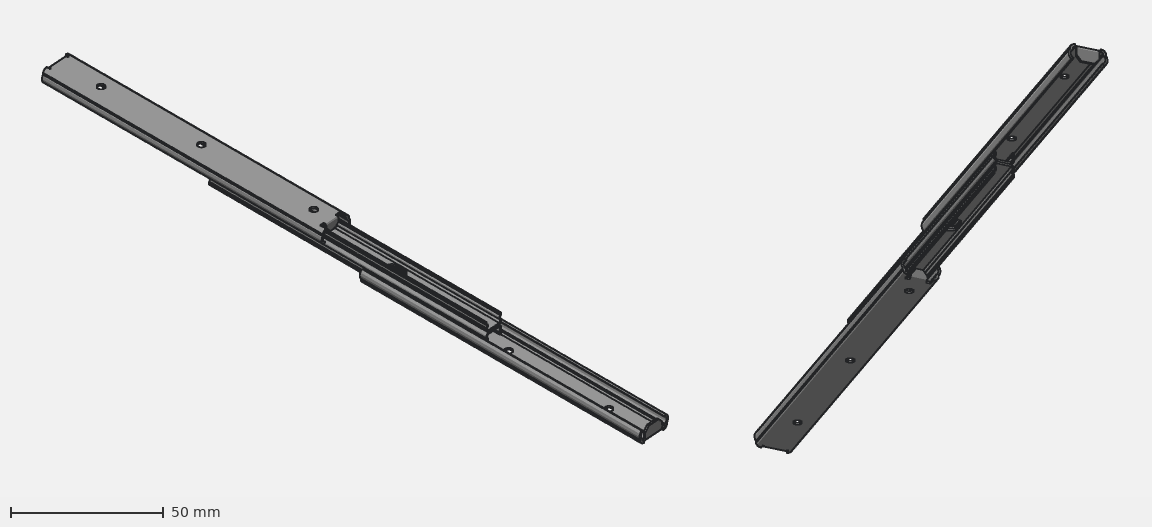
import cadquery as cq

total_length = 267.0
total_height = 12.8
outer_length = 125.0
inner_start = 71.5
sheet = 0.8

mid_x = total_length / 2
mid_z = total_height / 2
inner_length = total_length - 2 * inner_start

outer_half_width = 7.0
web_half_width = 4.5
shoulder_half_width = 6.5
shoulder_z = 11.5
race_top = 10.7
race_z = 9.3
lip_outer_half_width = 6.0
lip_outer_z = 7.0
lip_inner_half_width = 5.0
lip_inner_z = 7.5
corner_inner_half_width = 5.3
corner_inner_z = 11.5
web_underside = total_height - sheet

inner_half_width = 3.7
inner_height = 4.5
inner_corner_radius = 2.0
groove_width = 2.0
groove_depth = 0.5
flange_thickness = 0.5
floor_half_width = 2.7

bend_radius = 1.3
end_tab_half_width = 4.0
end_tab_tip_half_width = 2.5
end_tab_bottom = 7.0
end_tab_taper = 2.0
stop_half_width = 3.0
stop_tip_half_width = 1.3
stop_bottom = 9.0
stop_taper = 2.1
stop_setback = 1.3

hole_diameter = 3.0
hole_places = [20.0, 64.9, 115.0]
slot_length = 8.0
slot_width = 4.3
slot_places = [hole_places[-1], total_length - hole_places[-1]]


def both_sides(half):
    """Complete a +Y half with its mirror image."""
    return half.union(half.mirror("XZ"))


def outer_channel():
    """Flat web, rounded shoulders and side walls bulged outward as ball races."""
    half = (
        cq.Workplane("YZ")
        .moveTo(0, total_height)
        .lineTo(web_half_width, total_height)
        .tangentArcPoint((shoulder_half_width, shoulder_z), relative=False)
        .lineTo(shoulder_half_width, race_top)
        .threePointArc((outer_half_width, race_z), (lip_outer_half_width, lip_outer_z))
        .lineTo(lip_inner_half_width, lip_inner_z)
        .threePointArc((outer_half_width - sheet, race_z), (corner_inner_half_width, race_top))
        .lineTo(corner_inner_half_width, corner_inner_z)
        .lineTo(web_half_width, web_underside)
        .lineTo(0, web_underside)
        .close()
        .extrude(outer_length)
    )
    return both_sides(half)


def web_notch(start, end):
    """Stretch of the flat web to be removed between two X places."""
    return (
        cq.Workplane("XY")
        .box(end - start, 2 * web_half_width, sheet, centered=(False, True, False))
        .translate((start, 0, web_underside))
    )


def bent_tab(half_width, tip_half_width, bottom, taper):
    """Tab bent down from the web, its outer face at X = 0, narrowing toward its tip."""
    strip = (
        cq.Workplane("XZ")
        .moveTo(bend_radius, total_height)
        .radiusArc((0, total_height - bend_radius), -bend_radius)
        .lineTo(0, bottom)
        .lineTo(sheet, bottom)
        .lineTo(sheet, total_height - bend_radius)
        .radiusArc((bend_radius, web_underside), bend_radius - sheet)
        .close()
        .extrude(half_width, both=True)
    )
    tapered_outline = (
        cq.Workplane("YZ")
        .moveTo(-half_width, total_height)
        .lineTo(half_width, total_height)
        .lineTo(half_width, bottom + taper)
        .lineTo(tip_half_width, bottom)
        .lineTo(-tip_half_width, bottom)
        .lineTo(-half_width, bottom + taper)
        .close()
        .extrude(bend_radius)
    )
    return strip.intersect(tapered_outline)


def end_tab():
    """Deep, wide tab across the closed end of the outer rail."""
    return bent_tab(end_tab_half_width, end_tab_tip_half_width, end_tab_bottom, end_tab_taper)


def inner_stop():
    """Short tab near the open end that reaches into the channel of the inner rail."""
    tab = bent_tab(stop_half_width, stop_tip_half_width, stop_bottom, stop_taper)
    return tab.mirror("YZ").translate((outer_length - stop_setback, 0, 0))


def outer_rail():
    """Upper outer rail, with its closed end at X = 0."""
    stop_bend_start = outer_length - stop_setback - bend_radius
    holes = (
        cq.Workplane("XY")
        .pushPoints([(x, 0) for x in hole_places])
        .circle(hole_diameter / 2)
        .extrude(total_height)
    )
    return (
        outer_channel()
        .cut(web_notch(0, bend_radius))
        .cut(web_notch(stop_bend_start, outer_length))
        .union(end_tab())
        .union(inner_stop())
        .cut(holes)
    )


def inner_rail():
    """Upper inner rail: a channel open upward, its flanks pressed inward as ball grooves."""
    channel_half_width = inner_half_width - flange_thickness
    channel_floor = mid_z + sheet
    inner_top = mid_z + inner_height
    groove_bottom = mid_z + inner_corner_radius
    groove_top = groove_bottom + groove_width
    groove_z = (groove_bottom + groove_top) / 2
    half = (
        cq.Workplane("YZ")
        .moveTo(0, mid_z)
        .lineTo(inner_half_width - inner_corner_radius, mid_z)
        .radiusArc((inner_half_width, groove_bottom), -inner_corner_radius)
        .threePointArc((inner_half_width - groove_depth, groove_z), (inner_half_width, groove_top))
        .lineTo(inner_half_width, inner_top)
        .lineTo(channel_half_width, inner_top)
        .lineTo(channel_half_width, groove_top)
        .threePointArc((channel_half_width - groove_depth, groove_z), (channel_half_width, groove_bottom))
        .lineTo(floor_half_width, channel_floor)
        .lineTo(0, channel_floor)
        .close()
        .extrude(inner_length)
        .translate((inner_start, 0, 0))
    )
    slots = (
        cq.Workplane("XY")
        .pushPoints([(x, 0) for x in slot_places])
        .slot2D(slot_length, slot_width)
        .extrude(total_height)
    )
    return both_sides(half).cut(slots)


def turned_over(rail):
    """Copy of an upper rail turned half a turn about the Y line through the middle of the slide."""
    return rail.rotate((mid_x, 0, mid_z), (mid_x, 1, mid_z), 180)


outer_rails = []
inner_rails = []
for rails, upper_rail in [(outer_rails, outer_rail()), (inner_rails, inner_rail())]:
    rails.append(upper_rail.val())
    rails.append(turned_over(upper_rail).val())

result = cq.Compound.makeCompound([*outer_rails, *inner_rails])